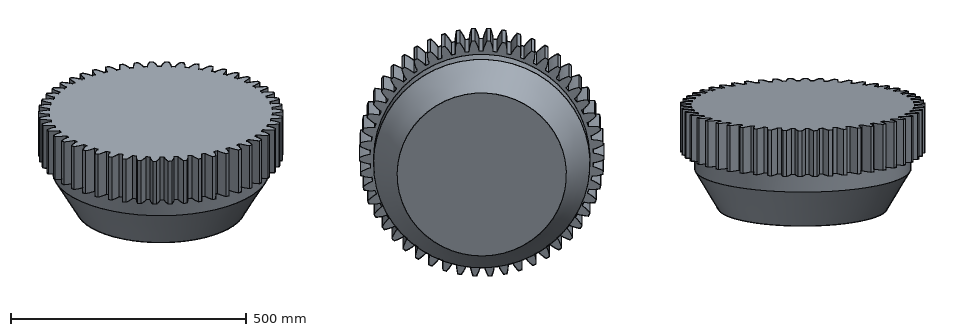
import cadquery as cq
import math

tip_diameter = 520.0
tooth_count = 50
pressure_angle = math.radians(20)
dedendum_factor = 1.25
gear_height = 100.0
flank_steps = 6

collar_diameter = 460.0
collar_height = 40.0
base_diameter = 360.0
total_height = 225.0

module = tip_diameter / (tooth_count + 2)
tip_radius = tip_diameter / 2
pitch_radius = module * tooth_count / 2
root_radius = pitch_radius - dedendum_factor * module
base_circle_radius = pitch_radius * math.cos(pressure_angle)
tooth_pitch = 2 * math.pi / tooth_count

gear_bottom = total_height - gear_height
taper_height = gear_bottom - collar_height


def polar(radius, angle):
    return (radius * math.cos(angle), radius * math.sin(angle))


def involute(angle):
    return math.tan(angle) - angle


def half_tooth_angle(radius):
    """Angle from the tooth centreline to its involute flank at a radius."""
    flank_angle = math.acos(base_circle_radius / radius)
    return tooth_pitch / 4 + involute(pressure_angle) - involute(flank_angle)


def gear():
    step = (tip_radius - root_radius) / flank_steps
    radii = [root_radius + i * step for i in range(flank_steps + 1)]
    root_half_angle = half_tooth_angle(root_radius)
    tip_half_angle = half_tooth_angle(tip_radius)

    outline = cq.Workplane("XY").workplane(offset=gear_bottom)
    outline = outline.moveTo(*polar(root_radius, -root_half_angle))
    for tooth in range(tooth_count):
        centre = tooth * tooth_pitch
        rising = [polar(r, centre - half_tooth_angle(r)) for r in radii]
        falling = [polar(r, centre + half_tooth_angle(r)) for r in reversed(radii)]
        next_root = centre + tooth_pitch - root_half_angle
        outline = (
            outline.spline(rising[1:], includeCurrent=True)
            .threePointArc(polar(tip_radius, centre), polar(tip_radius, centre + tip_half_angle))
            .spline(falling[1:], includeCurrent=True)
            .threePointArc(polar(root_radius, centre + tooth_pitch / 2), polar(root_radius, next_root))
        )
    return outline.close().extrude(gear_height)


def tapered_base():
    return (
        cq.Workplane("XZ")
        .lineTo(-base_diameter / 2, 0)
        .lineTo(-collar_diameter / 2, taper_height)
        .lineTo(-collar_diameter / 2, gear_bottom)
        .lineTo(0, gear_bottom)
        .close()
        .revolve(360, (0, 0, 0), (0, 1, 0))
    )


result = gear().union(tapered_base())